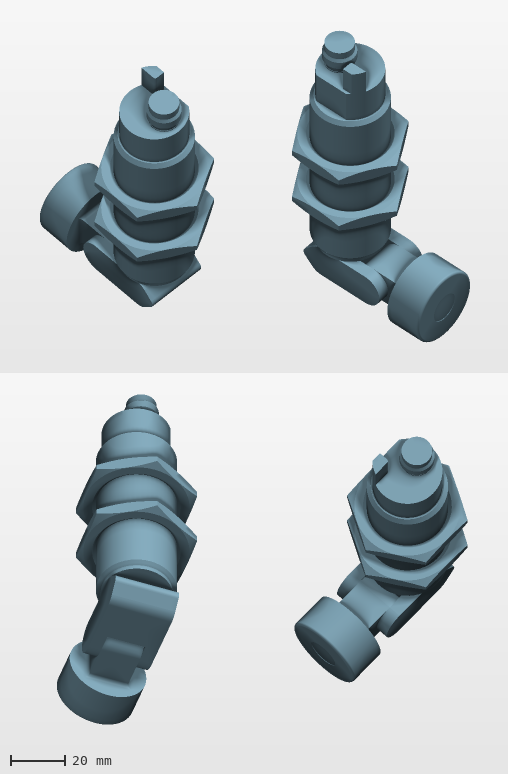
import cadquery as cq
import math

OVERALL_HEIGHT = 123.3
BARREL_RADIUS = 15.0

SLEEVE_BOTTOM = 24.0
SLEEVE_TOP = 98.5
SLEEVE_CHAMFER = 1.5

NUT_WIDTH = 39.5
NUT_HEIGHT = 5.3
NUT_BOTTOMS = (47.1, 72.0)
NUT_FACE_RADIUS = 19.6
NUT_CORNER_DROP = 1.5
NUT_BORE_CHAMFER = 1.4

CAP_RADIUS = 13.0
CAP_TOP = 112.6
CAP_FLAT_Y = 10.7
TAB_RIGHT_X = -4.7
TAB_FRONT_Y = 4.9
TAB_BACK_Y = 9.5
TAB_CORNER_RADIUS = 1.0
CONNECTOR_X = 5.2
CONNECTOR_RADIUS = 5.7
CONNECTOR_NECK_RADIUS = 5.4
CONNECTOR_BASE_HEIGHT = 0.4
CONNECTOR_RIM_RADIUS = 6.5
RIM_LOWER_CONE = (115.0, 115.7)
RIM_UPPER_CONE = (119.0, 120.1)

HINGE_X = -17.9
HINGE_Z = BARREL_RADIUS
HINGE_RADIUS = 7.0
COLLAR_RADIUS = 13.6
BLOCK_WIDTH = 24.9
BLOCK_POINT_X = 13.1
BLOCK_POINT_RADIUS = 2.5
BLOCK_SHOULDER_RADIUS = 6.0

HEAD_FACE_X = -46.0
HEAD_LENGTH = 14.9
HEAD_EDGE_RADIUS = 1.0
FACE_RECESS_RADIUS = 5.9
FACE_RECESS_DEPTH = 0.2
ARM_WIDTH = 15.0
ARM_ROOT_RADIUS = 1.5

PICK_MARGIN = 0.1


def disc(radius, bottom, top):
    """Cylinder on the housing axis between two heights."""
    return cq.Workplane("XY").workplane(offset=bottom).circle(radius).extrude(top - bottom)


def make_sleeve():
    """Plain barrel with both outer ends chamfered."""
    return disc(BARREL_RADIUS, SLEEVE_BOTTOM, SLEEVE_TOP).edges().chamfer(SLEEVE_CHAMFER)


def make_nut(bottom):
    """Hexagon nut with corners on the X axis, chamfered outside and in the bore."""
    corner_radius = NUT_WIDTH / math.sqrt(3)
    top = bottom + NUT_HEIGHT
    hexagon = (
        cq.Workplane("XY").workplane(offset=bottom).polygon(6, 2 * corner_radius).extrude(NUT_HEIGHT)
    )
    turned_shape = (
        cq.Workplane("XZ")
        .moveTo(BARREL_RADIUS + NUT_BORE_CHAMFER, bottom)
        .lineTo(NUT_FACE_RADIUS, bottom)
        .lineTo(corner_radius, bottom + NUT_CORNER_DROP)
        .lineTo(corner_radius, top - NUT_CORNER_DROP)
        .lineTo(NUT_FACE_RADIUS, top)
        .lineTo(BARREL_RADIUS + NUT_BORE_CHAMFER, top)
        .lineTo(BARREL_RADIUS, top - NUT_BORE_CHAMFER)
        .lineTo(BARREL_RADIUS, bottom + NUT_BORE_CHAMFER)
        .close()
        .revolve(360, (0, 0, 0), (0, 1, 0))
    )
    return hexagon.intersect(turned_shape)


def make_tab():
    """Key tab standing on the cap, flush with the cap's round side."""
    tab_block = (
        cq.Workplane("XY")
        .workplane(offset=CAP_TOP)
        .moveTo(-CAP_RADIUS, TAB_FRONT_Y)
        .lineTo(TAB_RIGHT_X, TAB_FRONT_Y)
        .lineTo(TAB_RIGHT_X, TAB_BACK_Y)
        .lineTo(-CAP_RADIUS, TAB_BACK_Y)
        .close()
        .extrude(OVERALL_HEIGHT - CAP_TOP)
        .edges("|Z and >X and <Y")
        .fillet(TAB_CORNER_RADIUS)
    )
    return tab_block.intersect(disc(CAP_RADIUS, CAP_TOP, OVERALL_HEIGHT))


def make_connector():
    """Turned plug with a raised rim, offset from the housing axis."""
    base_top = CAP_TOP + CONNECTOR_BASE_HEIGHT
    lower_cone_bottom, lower_cone_top = RIM_LOWER_CONE
    upper_cone_bottom, upper_cone_top = RIM_UPPER_CONE
    return (
        cq.Workplane("XZ")
        .moveTo(0, CAP_TOP)
        .lineTo(CONNECTOR_RADIUS, CAP_TOP)
        .lineTo(CONNECTOR_RADIUS, base_top)
        .lineTo(CONNECTOR_NECK_RADIUS, base_top)
        .lineTo(CONNECTOR_NECK_RADIUS, lower_cone_bottom)
        .lineTo(CONNECTOR_RIM_RADIUS, lower_cone_top)
        .lineTo(CONNECTOR_RIM_RADIUS, upper_cone_bottom)
        .lineTo(CONNECTOR_RADIUS, upper_cone_top)
        .lineTo(CONNECTOR_RADIUS, OVERALL_HEIGHT)
        .lineTo(0, OVERALL_HEIGHT)
        .close()
        .revolve(360, (0, 0, 0), (0, 1, 0))
        .translate((CONNECTOR_X, 0, 0))
    )


def make_end_cap():
    """Round cap with a flat on +Y, carrying the key tab and the connector."""
    flat_cutter = (
        cq.Workplane("XY")
        .workplane(offset=SLEEVE_TOP)
        .center(0, CAP_FLAT_Y + CAP_RADIUS / 2)
        .rect(2 * CAP_RADIUS, CAP_RADIUS)
        .extrude(CAP_TOP - SLEEVE_TOP)
    )
    cap = disc(CAP_RADIUS, SLEEVE_TOP, CAP_TOP).cut(flat_cutter)
    return cap.union(make_tab()).union(make_connector())


def make_bracket():
    """Collar under the sleeve on a block whose slotted left end holds the head's arm."""
    top = HINGE_Z + HINGE_RADIUS
    bottom = HINGE_Z - HINGE_RADIUS
    bevel_start_x = BLOCK_POINT_X - HINGE_RADIUS
    block = (
        cq.Workplane("XZ")
        .moveTo(HINGE_X, top)
        .lineTo(bevel_start_x, top)
        .lineTo(BLOCK_POINT_X, HINGE_Z)
        .lineTo(bevel_start_x, bottom)
        .lineTo(HINGE_X, bottom)
        .threePointArc((HINGE_X - HINGE_RADIUS, HINGE_Z), (HINGE_X, top))
        .close()
        .extrude(BLOCK_WIDTH / 2, both=True)
    )
    shoulder_box = cq.selectors.BoxSelector(
        (bevel_start_x - PICK_MARGIN, -BLOCK_WIDTH, bottom - PICK_MARGIN),
        (bevel_start_x + PICK_MARGIN, BLOCK_WIDTH, top + PICK_MARGIN),
    )
    block = block.edges("|Y").edges(shoulder_box).fillet(BLOCK_SHOULDER_RADIUS)
    block = block.edges("|Y and >X").fillet(BLOCK_POINT_RADIUS)
    arm_slot = cq.Workplane("XY").box(2 * HINGE_RADIUS, ARM_WIDTH, 2 * HINGE_RADIUS)
    arm_slot = arm_slot.translate((HINGE_X, 0, HINGE_Z))
    return block.cut(arm_slot).union(disc(COLLAR_RADIUS, top, SLEEVE_BOTTOM))


def make_head():
    """Round sensing head on a rectangular arm with a rounded hinge end."""
    head_back_x = HEAD_FACE_X + HEAD_LENGTH
    head = (
        cq.Workplane("YZ")
        .workplane(offset=HEAD_FACE_X)
        .center(0, HINGE_Z)
        .circle(BARREL_RADIUS)
        .extrude(HEAD_LENGTH)
        .faces("<X")
        .edges()
        .fillet(HEAD_EDGE_RADIUS)
    )
    arm = (
        cq.Workplane("XZ")
        .moveTo(head_back_x, HINGE_Z - HINGE_RADIUS)
        .lineTo(HINGE_X, HINGE_Z - HINGE_RADIUS)
        .threePointArc((HINGE_X + HINGE_RADIUS, HINGE_Z), (HINGE_X, HINGE_Z + HINGE_RADIUS))
        .lineTo(head_back_x, HINGE_Z + HINGE_RADIUS)
        .close()
        .extrude(ARM_WIDTH / 2, both=True)
    )
    arm_root = cq.selectors.BoxSelector(
        (head_back_x - PICK_MARGIN, -ARM_WIDTH, HINGE_Z - ARM_WIDTH),
        (head_back_x + PICK_MARGIN, ARM_WIDTH, HINGE_Z + ARM_WIDTH),
    )
    face_recess = (
        cq.Workplane("YZ")
        .workplane(offset=HEAD_FACE_X)
        .center(0, HINGE_Z)
        .circle(FACE_RECESS_RADIUS)
        .extrude(FACE_RECESS_DEPTH)
    )
    head = head.union(arm).edges("not %CIRCLE").edges(arm_root).fillet(ARM_ROOT_RADIUS)
    return head.cut(face_recess)


sleeve = make_sleeve()
nuts = [make_nut(bottom) for bottom in NUT_BOTTOMS]
end_cap = make_end_cap()
bracket = make_bracket()
head = make_head()

result = cq.Compound.makeCompound(
    [sleeve.val(), *[nut.val() for nut in nuts], end_cap.val(), bracket.val(), head.val()]
)